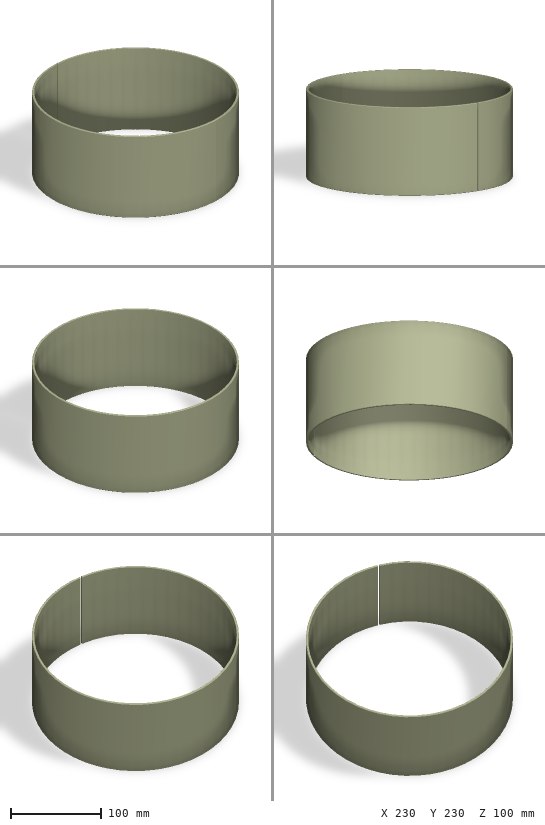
import cadquery as cq

outer_diameter = 230.0
height = 100.0
wall_thickness = 2.5
outer_chamfer = 0.5
inner_chamfer = 0.2
slit_width = 2.0

outer_radius = outer_diameter / 2
inner_radius = outer_radius - wall_thickness
bottom_z = -height / 2


def plain_ring():
    """Upright square-edged ring centred on the origin."""
    return (
        cq.Workplane("XY", origin=(0, 0, bottom_z))
        .circle(outer_radius)
        .circle(inner_radius)
        .extrude(height)
    )


def chamfer_rims(ring):
    """Break the inner and outer rims at both ends of the ring."""
    smallest_circles = cq.selectors.RadiusNthSelector(0)
    largest_circles = cq.selectors.RadiusNthSelector(-1)
    ring = ring.faces("<Z or >Z").edges(smallest_circles).chamfer(inner_chamfer)
    return ring.faces("<Z or >Z").edges(largest_circles).chamfer(outer_chamfer)


def slit_cutter():
    """Full-height block through the -X wall, with one face on the plane Y = 0."""
    cutter_length = 4 * wall_thickness
    cutter = cq.Workplane("XY").box(cutter_length, slit_width, height)
    return cutter.translate((-outer_radius, slit_width / 2, 0))


result = chamfer_rims(plain_ring()).cut(slit_cutter())